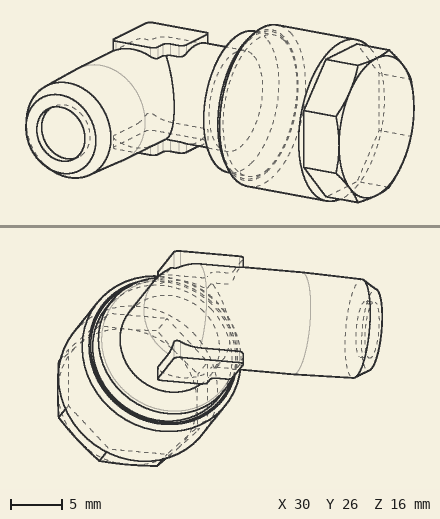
import cadquery as cq
import math

pipe_radius = 10.0 / 2
overall_length = 30.0
outlet_end = overall_length - pipe_radius
inlet_length = 17.98

taper_length = 7.5
tip_length = 1.45
taper_end_radius = 4.83
tip_radius = 4.0
bore_diameter = 5.5
bore_depth = 0.9

pad_outer = 2.5
pad_reach = 4.5
pad_notch = 2.5
pad_height = 10.98
pad_corner_radius = 0.5

collar_radius = 14.0 / 2
collar_start = 8.95
collar_cone_length = 0.48
collar_lip_length = 0.15
collar_lip_radius = 6.75
sleeve_radius = 16.0 / 2
sleeve_start = 11.45
sleeve_chamfer = 0.55
sleeve_mouth_radius = 7.3
sleeve_mouth_depth = 0.3
nut_start = 21.0
nut_across_flats = 14.0
nut_chamfer_angle = 30.0


def revolve_x(points):
    """Turn an (x, radius) outline around the X axis."""
    return cq.Workplane("XY").polyline(points).close().revolve(360, (0, 0, 0), (1, 0, 0))


def make_elbow():
    """Two pipes meeting in a ball; the inlet ends in a taper and a bevelled tip."""
    taper_start = inlet_length - taper_length
    taper_end = inlet_length - tip_length
    inlet = (
        cq.Workplane("XY")
        .polyline([
            (0, 0),
            (pipe_radius, 0),
            (pipe_radius, -taper_start),
            (taper_end_radius, -taper_end),
            (tip_radius, -inlet_length),
            (0, -inlet_length),
        ])
        .close()
        .revolve(360, (0, 0, 0), (0, 1, 0))
    )
    outlet = cq.Workplane("YZ").circle(pipe_radius).extrude(nut_start)
    return inlet.union(outlet).union(cq.Workplane("XY").sphere(pipe_radius))


def make_wrench_pads():
    """An L-shaped prism through the elbow; its ends stand proud as pads."""
    block = (
        cq.Workplane("XY")
        .polyline([
            (-pad_outer, pad_outer),
            (pad_reach, pad_outer),
            (pad_reach, -pad_notch),
            (pad_notch, -pad_notch),
            (pad_notch, -pad_reach),
            (-pad_outer, -pad_reach),
        ])
        .close()
        .extrude(pad_height / 2, both=True)
    )
    return block.edges("|Z").fillet(pad_corner_radius)


def make_collar_and_sleeve():
    """Conical collar face with a bevelled lip, then the sleeve with a flared mouth."""
    cone_end = collar_start + collar_cone_length
    return revolve_x([
        (collar_start, 0),
        (collar_start, pipe_radius),
        (cone_end, collar_lip_radius),
        (cone_end + collar_lip_length, collar_radius),
        (sleeve_start + sleeve_mouth_depth, collar_radius),
        (sleeve_start, sleeve_mouth_radius),
        (sleeve_start, sleeve_radius - sleeve_chamfer),
        (sleeve_start + sleeve_chamfer, sleeve_radius),
        (nut_start, sleeve_radius),
        (nut_start, 0),
    ])


def make_nut():
    """Octagonal nut with a flat facing up and its outer corners turned down."""
    sides = 8
    half_step = math.pi / sides
    corner_radius = nut_across_flats / 2 / math.cos(half_step)
    chamfer = (corner_radius - nut_across_flats / 2) * math.tan(math.radians(nut_chamfer_angle))
    prism = (
        cq.Workplane("YZ", origin=(nut_start, 0, 0))
        .polygon(sides, 2 * corner_radius)
        .extrude(outlet_end - nut_start)
        .rotate((0, 0, 0), (1, 0, 0), math.degrees(half_step))
    )
    envelope = revolve_x([
        (nut_start, 0),
        (nut_start, corner_radius),
        (outlet_end - chamfer, corner_radius),
        (outlet_end, nut_across_flats / 2),
        (outlet_end, 0),
    ])
    return prism.intersect(envelope)


def make_inlet_bore():
    return (
        cq.Workplane("XZ", origin=(0, -inlet_length, 0))
        .circle(bore_diameter / 2)
        .extrude(-bore_depth)
    )


result = (
    make_elbow()
    .union(make_wrench_pads())
    .union(make_collar_and_sleeve())
    .union(make_nut())
    .cut(make_inlet_bore())
)